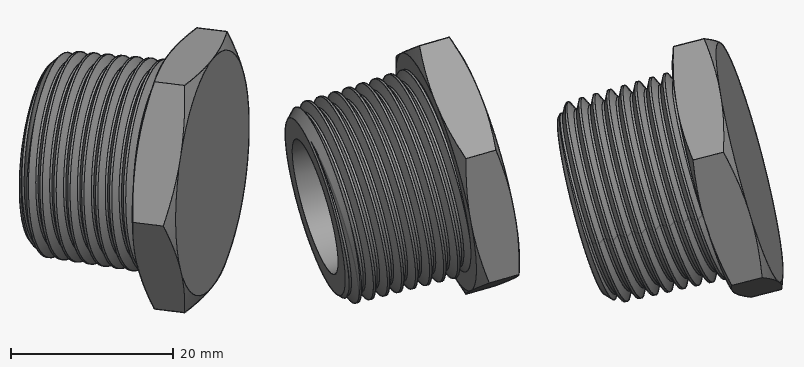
import math

import cadquery as cq

HEX_ACROSS_FLATS = 30.56
HEAD_THICKNESS = 5.63
HEAD_CHAMFER_ANGLE = 20.0

TOTAL_LENGTH = 21.43
SHANK_LENGTH = TOTAL_LENGTH - HEAD_THICKNESS
END_FACE_RADIUS = 11.42
END_CHAMFER_ANGLE = 45.0

PITCH = 25.4 / 14
THREAD_ANGLE = 55.0
THREAD_DEPTH = 0.64 * PITCH
THREAD_FLAT = PITCH / 6
RADIUS_TAPER = 1 / 32
CREST_RADIUS_AT_END = 12.80
FIRST_GROOVE_X = 1.03

BORE_RADIUS = 8.7
BORE_DEPTH = SHANK_LENGTH

OVERRUN = 0.1


def crest_radius(x):
    return CREST_RADIUS_AT_END + RADIUS_TAPER * x


def revolve_about_x(points):
    """Solid of revolution from an (X, radius) outline."""
    return cq.Workplane("XY").polyline(points).close().revolve(360, (0, 0, 0), (1, 0, 0))


def make_shank_blank():
    """Tapered shank with a chamfered end, running one pitch into the head."""
    inner_x = SHANK_LENGTH + PITCH
    chamfer_slope = math.tan(math.radians(END_CHAMFER_ANGLE))
    chamfer_length = (CREST_RADIUS_AT_END - END_FACE_RADIUS) / (chamfer_slope - RADIUS_TAPER)
    return revolve_about_x(
        [
            (0, 0),
            (0, END_FACE_RADIUS),
            (chamfer_length, crest_radius(chamfer_length)),
            (inner_x, crest_radius(inner_x)),
            (inner_x, 0),
        ]
    )


def make_thread_groove():
    """Right-hand helical groove, built turn by turn along Z and then turned to lie along X."""
    turns_before_end = 2
    start_x = FIRST_GROOVE_X - turns_before_end * PITCH
    turns = math.ceil((SHANK_LENGTH + PITCH / 2 - start_x) / PITCH)

    root_radius = crest_radius(start_x) - THREAD_DEPTH
    mouth_radius = crest_radius(start_x) + OVERRUN
    root_half_width = THREAD_FLAT / 2
    flank_slope = math.tan(math.radians(THREAD_ANGLE / 2))
    mouth_half_width = root_half_width + (mouth_radius - root_radius) * flank_slope
    profile = [
        (root_radius, -root_half_width),
        (mouth_radius, -mouth_half_width),
        (mouth_radius, mouth_half_width),
        (root_radius, root_half_width),
    ]

    slant_pitch = PITCH * math.hypot(1, RADIUS_TAPER)
    taper_angle = math.degrees(math.atan(RADIUS_TAPER))

    def helix_turn(radius, z):
        center = cq.Vector(0, 0, z)
        return cq.Wire.makeHelix(slant_pitch, slant_pitch, radius, center, angle=taper_angle).Edges()[0]

    def profile_after(turn):
        rise = turn * PITCH
        return [(radius + RADIUS_TAPER * rise, z + rise) for radius, z in profile]

    def end_cap(turn):
        corners = [cq.Vector(radius, 0, z) for radius, z in profile_after(turn)]
        return cq.Face.makeFromWires(cq.Wire.makePolygon(corners, close=True))

    faces = [end_cap(0), end_cap(turns)]
    for turn in range(turns):
        edges = [helix_turn(radius, z) for radius, z in profile_after(turn)]
        for i, edge in enumerate(edges):
            faces.append(cq.Face.makeRuledSurface(edges[i - 1], edge))

    groove = cq.Solid.makeSolid(cq.Shell.makeShell(faces)).fix()
    return cq.Workplane(obj=groove).rotate((0, 0, 0), (0, 1, 0), 90).translate((start_x, 0, 0))


def make_head():
    """Hexagon with two flats facing +Z and -Z, its corners chamfered at both ends."""
    corner_radius = HEX_ACROSS_FLATS / math.sqrt(3)
    hexagon = (
        cq.Workplane("YZ")
        .workplane(offset=SHANK_LENGTH)
        .polygon(6, 2 * corner_radius)
        .extrude(HEAD_THICKNESS)
    )
    face_radius = HEX_ACROSS_FLATS / 2
    outer_radius = corner_radius + OVERRUN
    chamfer_length = (outer_radius - face_radius) * math.tan(math.radians(HEAD_CHAMFER_ANGLE))
    envelope = revolve_about_x(
        [
            (SHANK_LENGTH, 0),
            (SHANK_LENGTH, face_radius),
            (SHANK_LENGTH + chamfer_length, outer_radius),
            (TOTAL_LENGTH - chamfer_length, outer_radius),
            (TOTAL_LENGTH, face_radius),
            (TOTAL_LENGTH, 0),
        ]
    )
    return hexagon.intersect(envelope)


def make_bore():
    return cq.Workplane("YZ").circle(BORE_RADIUS).extrude(BORE_DEPTH)


threaded_shank = make_shank_blank().cut(make_thread_groove())
result = threaded_shank.union(make_head()).cut(make_bore())